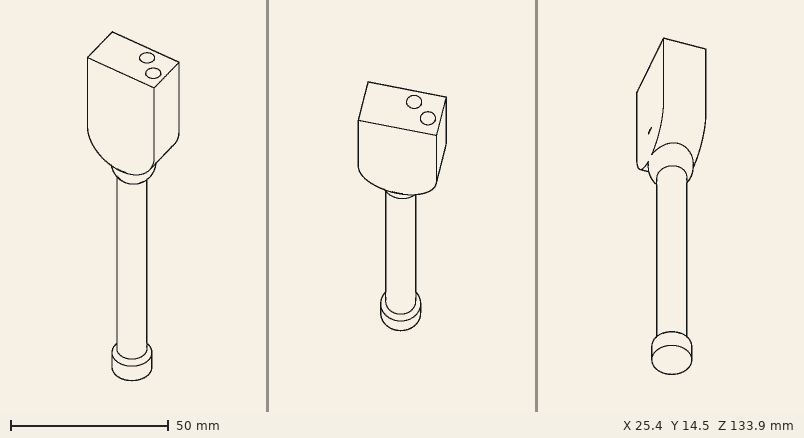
import cadquery as cq

TOTAL_HEIGHT = 133.93

HEAD_WIDTH = 25.4
HEAD_DEPTH = 14.28
HEAD_RADIUS = HEAD_WIDTH / 2
HEAD_STRAIGHT_HEIGHT = 30.16
HEAD_HEIGHT = HEAD_STRAIGHT_HEIGHT + HEAD_RADIUS

COLLAR_DIAMETER = 14.28
COLLAR_RADIUS = COLLAR_DIAMETER / 2
COLLAR_CENTER = (0.0, 0.17)
COLLAR_EXPOSED_HEIGHT = 1.59

STEM_DIAMETER = 9.53
STEM_CENTER = (-0.5, 0.0)
FOOT_DIAMETER = 12.7
FOOT_STRAIGHT_HEIGHT = 6.35
FOOT_CHAMFER = (FOOT_DIAMETER - STEM_DIAMETER) / 2
FOOT_HEIGHT = FOOT_STRAIGHT_HEIGHT + FOOT_CHAMFER

HOLE_DIAMETER = 4.76
HOLE_DEPTH = 2.38
HOLE_FLOOR_FILLET = 0.3
HOLE_CENTERS = [(3.15, 3.2), (8.7, -1.65)]

HEAD_ARC_Z = TOTAL_HEIGHT - HEAD_STRAIGHT_HEIGHT
HEAD_BOTTOM_Z = TOTAL_HEIGHT - HEAD_HEIGHT
COLLAR_EDGE_Z = HEAD_BOTTOM_Z - COLLAR_EXPOSED_HEIGHT


def upright_cylinder(diameter, center, bottom_z, top_z):
    """Cylinder along Z between two levels."""
    return (
        cq.Workplane("XY", origin=(*center, bottom_z))
        .circle(diameter / 2)
        .extrude(top_z - bottom_z)
    )


def make_head():
    """Block whose lower end is a half circle in the XZ plane."""
    return (
        cq.Workplane("XZ")
        .moveTo(-HEAD_RADIUS, TOTAL_HEIGHT)
        .lineTo(-HEAD_RADIUS, HEAD_ARC_Z)
        .threePointArc((0, HEAD_BOTTOM_Z), (HEAD_RADIUS, HEAD_ARC_Z))
        .lineTo(HEAD_RADIUS, TOTAL_HEIGHT)
        .close()
        .extrude(HEAD_DEPTH / 2, both=True)
    )


def make_collar():
    """Cylinder reaching up into the head, closed below by a hemisphere."""
    barrel = upright_cylinder(COLLAR_DIAMETER, COLLAR_CENTER, COLLAR_EDGE_Z, HEAD_ARC_Z)
    ball = cq.Workplane("XY", origin=(*COLLAR_CENTER, COLLAR_EDGE_Z)).sphere(COLLAR_RADIUS)
    return barrel.union(ball)


def make_stem():
    """Long rod from the foot up into the collar."""
    return upright_cylinder(STEM_DIAMETER, STEM_CENTER, 0, COLLAR_EDGE_Z)


def make_foot():
    """Short disc with a chamfered upper edge."""
    foot = upright_cylinder(FOOT_DIAMETER, STEM_CENTER, 0, FOOT_HEIGHT)
    return foot.faces(">Z").edges().chamfer(FOOT_CHAMFER)


def make_holes():
    """Blind holes sunk from the top face of the head, with rounded floor edges."""
    return (
        cq.Workplane("XY", origin=(0, 0, TOTAL_HEIGHT))
        .pushPoints(HOLE_CENTERS)
        .circle(HOLE_DIAMETER / 2)
        .extrude(-HOLE_DEPTH)
        .faces("<Z")
        .edges()
        .fillet(HOLE_FLOOR_FILLET)
    )


body = make_head().union(make_collar()).union(make_stem()).union(make_foot())
result = body.cut(make_holes())